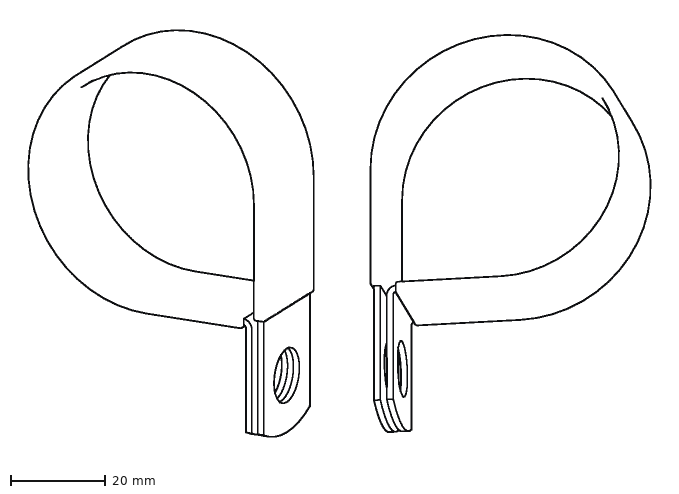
import cadquery as cq
import math

total_height = 82.2
loop_radius = 28.2
cushion_thickness = 2.8
cushion_width = 23.8
cushion_edge_round = 0.65
side_leg_length = 26.0
bottom_leg_length = 22.8

band_thickness = 1.4
band_width = 22.0
tab_gap = 1.4
bend_outer_radius = 2.05

hole_diameter = 11.9
hole_height = 12.7
tip_rise = 2.6

band_cover = (cushion_thickness - band_thickness) / 2
band_outer_radius = loop_radius - band_cover
band_inner_radius = band_outer_radius - band_thickness
tab_bottom = loop_radius - total_height
front_tab_outer_x = band_inner_radius - tab_gap
front_tab_inner_x = front_tab_outer_x - band_thickness
bend_inner_radius = bend_outer_radius - band_thickness
bend_center_x = front_tab_outer_x - bend_outer_radius
bend_center_z = -band_inner_radius - bend_outer_radius


def extrude_centered(outline, width):
    """Extrude an XZ outline symmetrically about the Y = 0 plane."""
    return outline.extrude(width / 2, both=True)


def make_cushion():
    """Three-quarter loop with two straight legs and rounded edges."""
    inner_radius = loop_radius - cushion_thickness
    diagonal = math.sqrt(0.5)
    outline = (
        cq.Workplane("XZ")
        .moveTo(bottom_leg_length, -loop_radius)
        .lineTo(0, -loop_radius)
        .threePointArc((-loop_radius * diagonal, loop_radius * diagonal), (loop_radius, 0))
        .lineTo(loop_radius, -side_leg_length)
        .lineTo(inner_radius, -side_leg_length)
        .lineTo(inner_radius, 0)
        .threePointArc((-inner_radius * diagonal, inner_radius * diagonal), (0, -inner_radius))
        .lineTo(bottom_leg_length, -inner_radius)
        .close()
    )
    body = extrude_centered(outline, cushion_width)
    selection_margin = 0.1
    side_edges = body.faces("<Y or >Y").edges()
    leg_end_edges = body.edges(
        cq.selectors.BoxSelector(
            (bottom_leg_length - selection_margin, -cushion_width, -loop_radius - selection_margin),
            (loop_radius + selection_margin, cushion_width, -inner_radius + selection_margin),
        )
    ).edges("|Y")
    return side_edges.add(leg_end_edges).fillet(cushion_edge_round)


def make_straight_tab():
    """Band end that continues the side leg downward from the loop axis."""
    outline = cq.Workplane("XZ").moveTo(band_inner_radius, tab_bottom)
    outline = outline.lineTo(band_outer_radius, tab_bottom).lineTo(band_outer_radius, 0)
    outline = outline.lineTo(band_inner_radius, 0).close()
    return extrude_centered(outline, band_width)


def make_bent_tab():
    """Band end that leaves the bottom leg and bends downward."""
    outline = (
        cq.Workplane("XZ")
        .moveTo(0, -band_inner_radius)
        .lineTo(bend_center_x, -band_inner_radius)
        .radiusArc((front_tab_outer_x, bend_center_z), bend_outer_radius)
        .lineTo(front_tab_outer_x, tab_bottom)
        .lineTo(front_tab_inner_x, tab_bottom)
        .lineTo(front_tab_inner_x, bend_center_z)
        .radiusArc((bend_center_x, bend_center_z + bend_inner_radius), -bend_inner_radius)
        .lineTo(0, -band_outer_radius)
        .close()
    )
    return extrude_centered(outline, band_width)


def make_tab_limits():
    """Envelope that gives both tabs their curved end and bolt hole."""
    half_width = band_width / 2
    envelope = (
        cq.Workplane("YZ")
        .moveTo(-half_width, 0)
        .lineTo(-half_width, tab_bottom + tip_rise)
        .threePointArc((0, tab_bottom), (half_width, tab_bottom + tip_rise))
        .lineTo(half_width, 0)
        .close()
        .extrude(loop_radius)
    )
    hole = (
        cq.Workplane("YZ")
        .center(0, tab_bottom + hole_height)
        .circle(hole_diameter / 2)
        .extrude(loop_radius)
    )
    return envelope.cut(hole)


tabs = make_straight_tab().union(make_bent_tab()).intersect(make_tab_limits())
result = make_cushion().union(tabs)